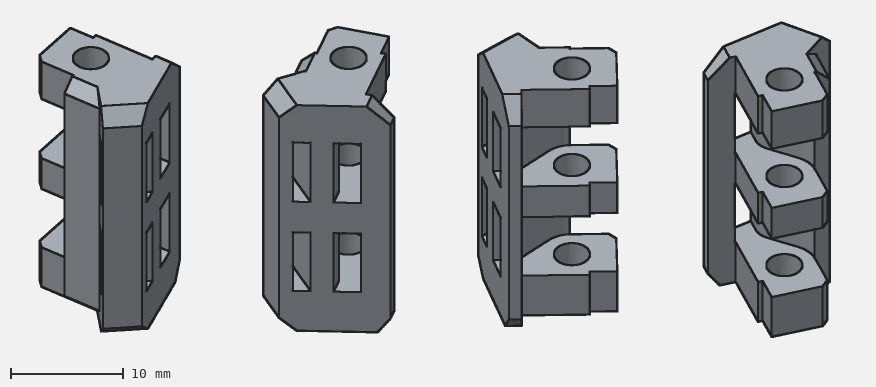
import cadquery as cq
import math

length = 25.35
width_x = 12.21
width_y = 11.8
margin = 2.53

hole_diameter = 3.2
hole_x = 3.98
hole_y = 6.2
knuckle_radius = 2.9
block_front = hole_y - knuckle_radius
block_chamfer = 0.68
block_back = 8.77
step_x = 2.45
step_back = 9.2

flange_x = 8.51
flange_end_x = 9.68
tip_x = 9.58
corner_y = 2.25
flange_chamfer_top = (2.05, 2.03)
flange_chamfer_bottom = (1.11, 1.6)
tip_chamfer = 1.42

rail_left = 4.1
rail_right = 7.9
rail_front = 1.9
rail_chamfer_top = (1.25, 1.17)
rail_chamfer_bottom = (1.47, 1.47)

gap_spans = ((4.49, 11.05), (14.5, 21.13))
gap_back = 9.27
gap_front = 0.84

crest_y = 6.95
crest_radius = 2.0

tip_slope = corner_y / (width_x - tip_x)
tip_angle = math.degrees(math.atan(tip_slope))


def arm_face_x(y):
    """X of the slanted front face that runs from the rail to the tip."""
    return tip_x - y * (tip_x - rail_right) / rail_front


def prism(points, bottom=0.0, top=length):
    """Upright prism on an XY outline."""
    return cq.Workplane("XY").workplane(offset=bottom).polyline(points).close().extrude(top - bottom)


def end_wedge(edge_y, inward, top_size, bottom_size):
    """Two wedges along X that bevel both ends of the edge at edge_y; inward is the Y sign into the part."""
    wedges = cq.Workplane("YZ", origin=(-margin, 0, 0))
    for end_z, up, (depth, height) in ((length, 1, top_size), (0.0, -1, bottom_size)):
        wedges = wedges.polyline([
            (edge_y - inward * depth, end_z - 2 * up * height),
            (edge_y + inward * 2 * depth, end_z + up * height),
            (edge_y - inward * depth, end_z + up * height),
        ]).close()
    return wedges.extrude(width_x + 2 * margin)


def make_body():
    outline = [
        (0, block_back),
        (step_x, block_back),
        (step_x, step_back),
        (flange_x, step_back),
        (flange_x, width_y),
        (flange_end_x, width_y),
        (width_x, corner_y),
        (tip_x, 0),
        (rail_right, rail_front),
        (rail_left, rail_front),
        (rail_left, block_front),
        (block_chamfer, block_front),
        (0, block_front + block_chamfer),
    ]
    return prism(outline)


def make_rail_wedges():
    arm = prism(
        [
            (arm_face_x(-margin), -margin),
            (width_x + 2 * margin, -margin),
            (width_x + 2 * margin, width_y),
            (arm_face_x(width_y), width_y),
        ],
        -margin,
        length + margin,
    )
    return end_wedge(rail_front, 1, rail_chamfer_top, rail_chamfer_bottom).cut(arm)


def make_tip_wedges():
    size = (tip_chamfer, tip_chamfer)
    wedges = end_wedge(0, 1, size, size).translate((tip_x - width_x / 2, 0, 0))
    return wedges.rotate((tip_x, 0, 0), (tip_x, 0, 1), tip_angle)


def make_hump(bottom, top):
    """Rail with the rounded hump behind it, running out through the plate."""
    diagonal = math.sqrt(0.5)
    arc_end = (hole_x + knuckle_radius * diagonal, hole_y - knuckle_radius * diagonal)
    arc_middle = (
        hole_x + knuckle_radius * math.sin(math.pi / 8),
        hole_y - knuckle_radius * math.cos(math.pi / 8),
    )
    floor_y = hole_y - math.sqrt(knuckle_radius**2 - (rail_left - hole_x) ** 2)
    crest_center_y = crest_y - crest_radius
    slope_top_y = crest_center_y + crest_radius * diagonal
    slope_top_x = arc_end[0] + slope_top_y - arc_end[1]
    crest_x = slope_top_x + crest_radius * diagonal
    crest_middle = (
        crest_x - crest_radius * math.sin(math.pi / 8),
        crest_center_y + crest_radius * math.cos(math.pi / 8),
    )
    return (
        cq.Workplane("XY").workplane(offset=bottom)
        .moveTo(rail_left, rail_front)
        .lineTo(rail_right, rail_front)
        .lineTo(width_x, rail_front + (width_x - rail_right) * tip_slope)
        .lineTo(width_x, crest_y)
        .lineTo(crest_x, crest_y)
        .threePointArc(crest_middle, (slope_top_x, slope_top_y))
        .lineTo(*arc_end)
        .threePointArc(arc_middle, (rail_left, floor_y))
        .close()
        .extrude(top - bottom)
    )


def make_gap(bottom, top):
    """Space between two knuckles, including the channel between hump and tip."""
    channel_x = arm_face_x(gap_front)
    outer_x = width_x + margin
    space = prism(
        [
            (-margin, gap_back),
            (outer_x, gap_back),
            (outer_x, gap_front + (outer_x - channel_x) * tip_slope),
            (channel_x, gap_front),
            (-margin, gap_front),
        ],
        bottom,
        top,
    )
    return space.cut(make_hump(bottom, top))


pin_hole = cq.Workplane("XY").center(hole_x, hole_y).circle(hole_diameter / 2).extrude(length)

result = make_body()
result = result.cut(end_wedge(width_y, -1, flange_chamfer_top, flange_chamfer_bottom))
result = result.cut(make_rail_wedges())
result = result.cut(make_tip_wedges())
result = result.cut(pin_hole)
for gap_bottom, gap_top in gap_spans:
    result = result.cut(make_gap(gap_bottom, gap_top))